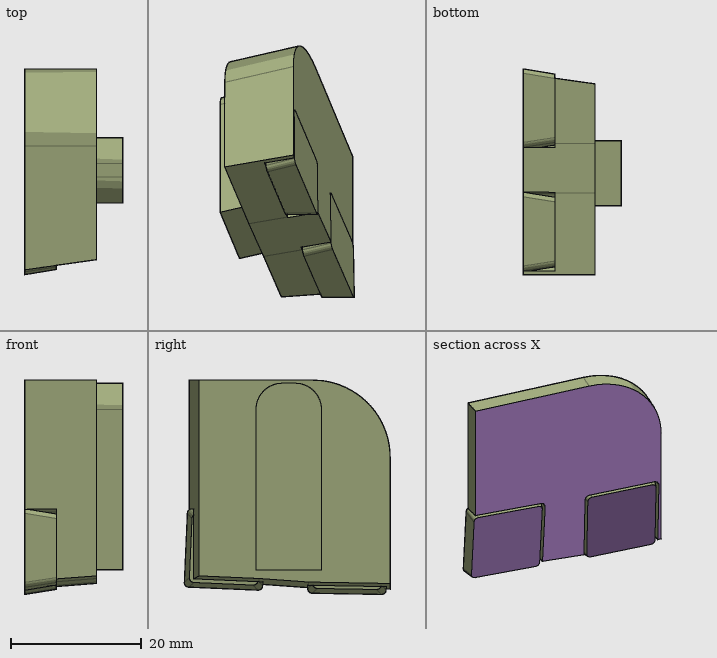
import cadquery as cq
import math


holder_thickness = 11.0
holder_depth = 30.75
rear_corner_radius = 11.85
front_relief = 8.0
bottom_relief = 4.6
heel_z = -31.98
rear_break_y = 18.27
front_break_y = 10.7
middle_slope = 4.1

boss_height = 4.0
boss_width = 10.0
boss_length = 28.55
boss_corner_radius = 4.0
boss_center_y = 15.22
boss_top_z = -0.5

insert_size = 12.0
insert_thickness = 4.82
insert_corner_radius = 0.72
insert_relief = 9.0
front_insert_tilt = 2.5
rear_insert_tilt = 1.0
front_insert_center = (5.48, -25.9)
rear_insert_center = (24.2, -26.7)
insert_places = [
    (front_insert_center, front_insert_tilt),
    (rear_insert_center, rear_insert_tilt),
]


def rise(run, degrees):
    return run * math.tan(math.radians(degrees))


def holder_outline(x):
    """Corners (Y, Z) of the holder section at depth x, without the rear round."""
    front_y = rise(x, front_relief)
    rear_z = heel_z + rise(x, bottom_relief)
    rear_break_z = rear_z + rise(holder_depth - rear_break_y, rear_insert_tilt)
    front_break_z = rear_break_z + rise(rear_break_y - front_break_y, middle_slope)
    front_z = front_break_z + rise(front_break_y - front_y, front_insert_tilt)
    return [
        (front_y, 0),
        (holder_depth, 0),
        (holder_depth, rear_z),
        (rear_break_y, rear_break_z),
        (front_break_y, front_break_z),
        (front_y, front_z),
    ]


def make_block():
    block = (
        cq.Workplane("YZ")
        .polyline(holder_outline(0)).close()
        .workplane(offset=holder_thickness)
        .polyline(holder_outline(holder_thickness)).close()
        .loft(ruled=True)
    )
    rear_top_edge = cq.selectors.NearestToPointSelector((holder_thickness / 2, holder_depth, 0))
    return block.edges(rear_top_edge).fillet(rear_corner_radius)


def make_boss():
    boss = (
        cq.Workplane("YZ", origin=(holder_thickness, boss_center_y, boss_top_z - boss_length / 2))
        .rect(boss_width, boss_length)
        .extrude(boss_height)
    )
    return boss.faces(">Z").edges("|X").fillet(boss_corner_radius)


def make_square_prism(center, tilt, relief):
    """Rounded square plate set into the x = 0 face, its sides tapering by the relief angle."""
    center_y, center_z = center
    plate = (
        cq.Workplane("YZ", origin=(0, center_y, center_z))
        .transformed(rotate=(0, 0, -tilt))
        .rect(insert_size, insert_size)
        .extrude(insert_thickness, taper=relief)
    )
    side_edges = plate.edges("not(#X)")
    return side_edges.fillet(insert_corner_radius)


def make_insert(center, tilt):
    return make_square_prism(center, tilt, insert_relief)


def make_pocket(center, tilt):
    """Straight-walled seat that matches the insert's outline at the holder face."""
    return make_square_prism(center, tilt, 0)


def make_holder():
    holder = make_block().union(make_boss())
    for center, tilt in insert_places:
        holder = holder.cut(make_pocket(center, tilt))
    return holder


holder = make_holder()
inserts = [make_insert(center, tilt) for center, tilt in insert_places]

result = cq.Compound.makeCompound([holder.val(), *[insert.val() for insert in inserts]])